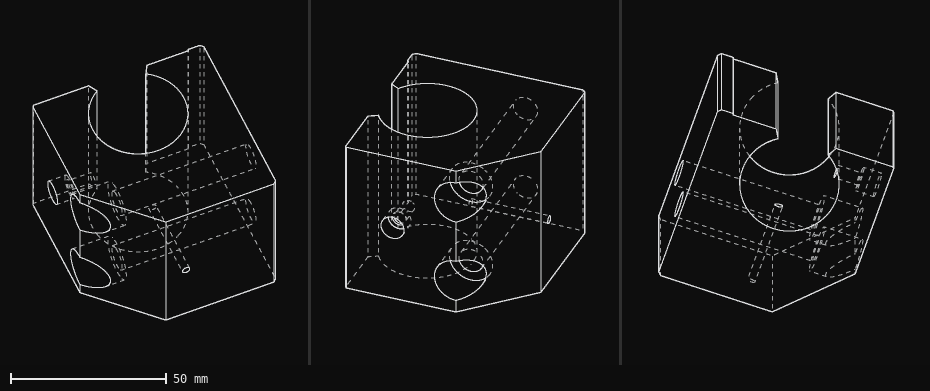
import cadquery as cq
import math

WIDTH = 60
DEPTH = 60
HEIGHT = 54
MID_Y = DEPTH / 2
MID_Z = HEIGHT / 2
BEVEL = 21
BACK_CHAMFER = 1.0
FRONT_CHAMFER = 0.5
RELIEF = 0.5
RELIEF_TOP_Y = 54.9

BORE_D = 32.0
BORE_X = 17.0
SLOT_HALF = 8.5
MOUTH_HALF = 10.2

SCREW_X = WIDTH - BEVEL
SCREW_SPACING = 30
SCREW_D = 8.4
SCREW_HEAD_D = 15
SCREW_HEAD_DEPTH = 13.0

CLAMP_HEAD_D = 8.0
CLAMP_HEAD_DEPTH = 6
CLAMP_D = 4.15
CLAMP_LEAD_IN = 0.4

OIL_D = 2.5
OIL_Y = 28.15
OIL_Z = 23.65


def make_block():
    outline = [
        (RELIEF + FRONT_CHAMFER, 0),
        (WIDTH - BEVEL, 0),
        (WIDTH, BEVEL),
        (WIDTH, DEPTH - BACK_CHAMFER),
        (WIDTH - BACK_CHAMFER, DEPTH),
        (BACK_CHAMFER, DEPTH),
        (0, DEPTH - BACK_CHAMFER),
        (0, RELIEF_TOP_Y),
        (RELIEF, RELIEF_TOP_Y),
        (RELIEF, FRONT_CHAMFER),
    ]
    return cq.Workplane("XY").polyline(outline).close().extrude(HEIGHT)


def make_shaft_opening():
    bore = cq.Workplane("XY").center(BORE_X, MID_Y).circle(BORE_D / 2).extrude(HEIGHT)
    slot_x = BORE_X - math.sqrt((BORE_D / 2) ** 2 - SLOT_HALF ** 2)
    slot = (
        cq.Workplane("XY")
        .polyline([
            (0, MID_Y - MOUTH_HALF),
            (RELIEF, MID_Y - MOUTH_HALF),
            (slot_x, MID_Y - SLOT_HALF),
            (BORE_X, MID_Y),
            (slot_x, MID_Y + SLOT_HALF),
            (RELIEF, MID_Y + MOUTH_HALF),
            (0, MID_Y + MOUTH_HALF),
        ])
        .close()
        .extrude(HEIGHT)
    )
    return bore.union(slot)


def y_cylinder(x, z, diameter, length):
    """Cylinder running from the front face toward +Y."""
    return cq.Workplane("XZ").center(x, z).circle(diameter / 2).extrude(-length)


result = make_block().cut(make_shaft_opening())

for screw_z in (MID_Z - SCREW_SPACING / 2, MID_Z + SCREW_SPACING / 2):
    result = result.cut(y_cylinder(SCREW_X, screw_z, SCREW_D, DEPTH))
    result = result.cut(y_cylinder(SCREW_X, screw_z, SCREW_HEAD_D, SCREW_HEAD_DEPTH))

result = result.cut(y_cylinder(BORE_X, MID_Z, CLAMP_D, MID_Y))
result = result.cut(y_cylinder(BORE_X, MID_Z, CLAMP_HEAD_D, CLAMP_HEAD_DEPTH))

lead_in = cq.Solid.makeCone(
    CLAMP_D / 2 + CLAMP_LEAD_IN,
    CLAMP_D / 2,
    CLAMP_LEAD_IN,
    pnt=cq.Vector(BORE_X, CLAMP_HEAD_DEPTH, MID_Z),
    dir=cq.Vector(0, 1, 0),
)
result = result.cut(cq.Workplane(lead_in))

oil_hole = (
    cq.Workplane("YZ", origin=(BORE_X, 0, 0))
    .center(OIL_Y, OIL_Z)
    .circle(OIL_D / 2)
    .extrude(WIDTH - BORE_X)
)
result = result.cut(oil_hole)